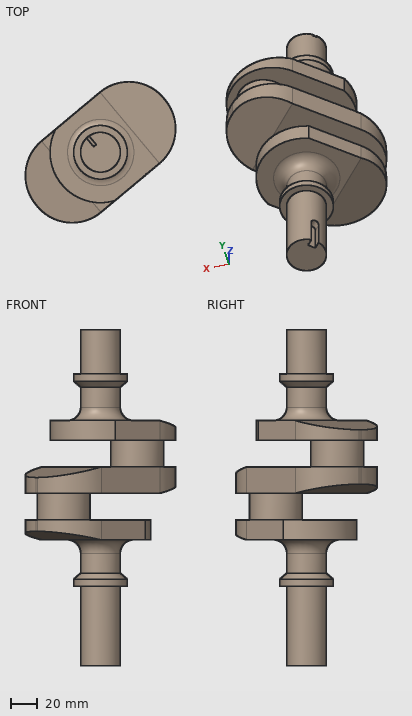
import cadquery as cq
import math

CRANK_ANGLE = 39.87
CRANK_THROW = 36.1
SHAFT_RADIUS = 15.0
PIN_RADIUS = 20.0

LOWER_SHAFT_LENGTH = 60.0
UPPER_SHAFT_LENGTH = 33.5
COLLAR_RADIUS = 20.25
COLLAR_RIM = 5.5
COLLAR_HEIGHT = 10.0
JOURNAL_LENGTH = 25.0
JOURNAL_FILLET = 10.0

OUTER_WEB_THICKNESS = 15.0
MIDDLE_WEB_THICKNESS = 20.0
PIN_LENGTH = 20.0
WEB_WIDTH = 70.0
WEB_HUB_RADIUS = 38.0
WEB_TIP_REACH = 62.7
WEB_TIP_FLAT = 2.0

LOWER_WEB_BEVEL = 6.5
MIDDLE_WEB_BEVEL_TOP = 8.0
MIDDLE_WEB_BEVEL_BOTTOM = 7.0
UPPER_WEB_BEVEL = 7.0

KEYWAY_WIDTH = 6.0
KEYWAY_HEIGHT = 25.0
KEYWAY_DEPTH = 6.0
MARK_WIDTH = 2.5
MARK_LENGTH = 8.5
MARK_DEPTH = 1.0

lower_web_bottom = LOWER_SHAFT_LENGTH + COLLAR_HEIGHT + JOURNAL_LENGTH
lower_web_top = lower_web_bottom + OUTER_WEB_THICKNESS
middle_web_bottom = lower_web_top + PIN_LENGTH
middle_web_top = middle_web_bottom + MIDDLE_WEB_THICKNESS
upper_web_bottom = middle_web_top + PIN_LENGTH
upper_web_top = upper_web_bottom + OUTER_WEB_THICKNESS
total_length = upper_web_top + JOURNAL_LENGTH + COLLAR_HEIGHT + UPPER_SHAFT_LENGTH

half_width = WEB_WIDTH / 2
tip_radius = half_width - WEB_TIP_FLAT / 2
bevel_start = WEB_TIP_REACH - tip_radius


def shaft_end(end_length):
    """Journal, collar and plain end, rising from a web face at Z = 0."""
    cone_start = JOURNAL_LENGTH
    rim_start = cone_start + COLLAR_HEIGHT - COLLAR_RIM
    rim_end = cone_start + COLLAR_HEIGHT
    fillet_radius = SHAFT_RADIUS + JOURNAL_FILLET
    fillet_mid = JOURNAL_FILLET * (1 - math.sqrt(0.5))
    profile = (
        cq.Workplane("XZ")
        .lineTo(fillet_radius, 0)
        .threePointArc((SHAFT_RADIUS + fillet_mid, fillet_mid), (SHAFT_RADIUS, JOURNAL_FILLET))
        .lineTo(SHAFT_RADIUS, cone_start)
        .lineTo(COLLAR_RADIUS, rim_start)
        .lineTo(COLLAR_RADIUS, rim_end)
        .lineTo(SHAFT_RADIUS, rim_end)
        .lineTo(SHAFT_RADIUS, rim_end + end_length)
        .lineTo(0, rim_end + end_length)
        .close()
    )
    return profile.revolve(360, (0, 0), (0, 1))


def tip_slab(direction, bottom, thickness):
    """Web arm from the shaft axis to a rounded tip; direction is +1 or -1 along X."""
    tip_face = ">X" if direction > 0 else "<X"
    return (
        cq.Workplane("XY", origin=(direction * WEB_TIP_REACH / 2, 0, bottom))
        .rect(WEB_TIP_REACH, WEB_WIDTH)
        .extrude(thickness)
        .edges("|Z and " + tip_face)
        .fillet(tip_radius)
    )


def outer_web(direction, bottom):
    """Web with a tip at one end and a round hub around the shaft at the other."""
    hub = cq.Workplane("XY", origin=(0, 0, bottom)).circle(WEB_HUB_RADIUS).extrude(OUTER_WEB_THICKNESS)
    hub_half = (
        cq.Workplane("XY", origin=(-direction * WEB_HUB_RADIUS / 2, 0, bottom))
        .rect(WEB_HUB_RADIUS, WEB_WIDTH)
        .extrude(OUTER_WEB_THICKNESS)
    )
    return tip_slab(direction, bottom, OUTER_WEB_THICKNESS).union(hub.intersect(hub_half))


def middle_web():
    """Web with a tip at both ends."""
    arms = [tip_slab(side, middle_web_bottom, MIDDLE_WEB_THICKNESS) for side in (1, -1)]
    return arms[0].union(arms[1])


def bevel_wedge(direction, face_level, drop):
    """Wedge cut from a web tip; a negative drop bevels an upper face downwards."""
    return (
        cq.Workplane("XZ", origin=(0, half_width, 0))
        .moveTo(direction * bevel_start, face_level)
        .lineTo(direction * WEB_TIP_REACH, face_level)
        .lineTo(direction * WEB_TIP_REACH, face_level + drop)
        .close()
        .extrude(WEB_WIDTH)
    )


def crank_pin(direction, bottom):
    return (
        cq.Workplane("XY", origin=(direction * CRANK_THROW, 0, bottom))
        .circle(PIN_RADIUS)
        .extrude(PIN_LENGTH)
    )


def keyway():
    """Round-topped slot in the +Y side of the lower shaft end, open at the bottom."""
    half_slot = KEYWAY_WIDTH / 2
    straight = KEYWAY_HEIGHT - half_slot
    return (
        cq.Workplane("XZ", origin=(0, SHAFT_RADIUS, 0))
        .moveTo(-half_slot, 0)
        .lineTo(half_slot, 0)
        .lineTo(half_slot, straight)
        .threePointArc((0, KEYWAY_HEIGHT), (-half_slot, straight))
        .close()
        .extrude(KEYWAY_DEPTH)
    )


def timing_mark():
    """Shallow radial groove in the upper end face, open on the +Y side."""
    return (
        cq.Workplane("XY", origin=(0, SHAFT_RADIUS - MARK_LENGTH, total_length - MARK_DEPTH))
        .box(MARK_WIDTH, MARK_LENGTH, MARK_DEPTH, centered=(True, False, False))
    )


upper_end = shaft_end(UPPER_SHAFT_LENGTH).translate((0, 0, upper_web_top))
lower_end = (
    shaft_end(LOWER_SHAFT_LENGTH)
    .rotate((0, 0, 0), (1, 0, 0), 180)
    .translate((0, 0, lower_web_bottom))
)

webs = (
    outer_web(-1, lower_web_bottom)
    .union(middle_web())
    .union(outer_web(1, upper_web_bottom))
    .cut(bevel_wedge(-1, lower_web_bottom, LOWER_WEB_BEVEL))
    .cut(bevel_wedge(-1, middle_web_top, -MIDDLE_WEB_BEVEL_TOP))
    .cut(bevel_wedge(1, middle_web_bottom, MIDDLE_WEB_BEVEL_BOTTOM))
    .cut(bevel_wedge(1, upper_web_top, -UPPER_WEB_BEVEL))
)

crankshaft = (
    webs.union(crank_pin(-1, lower_web_top))
    .union(crank_pin(1, middle_web_top))
    .union(lower_end)
    .union(upper_end)
    .cut(keyway())
    .cut(timing_mark())
)

result = crankshaft.rotate((0, 0, 0), (0, 0, 1), CRANK_ANGLE)